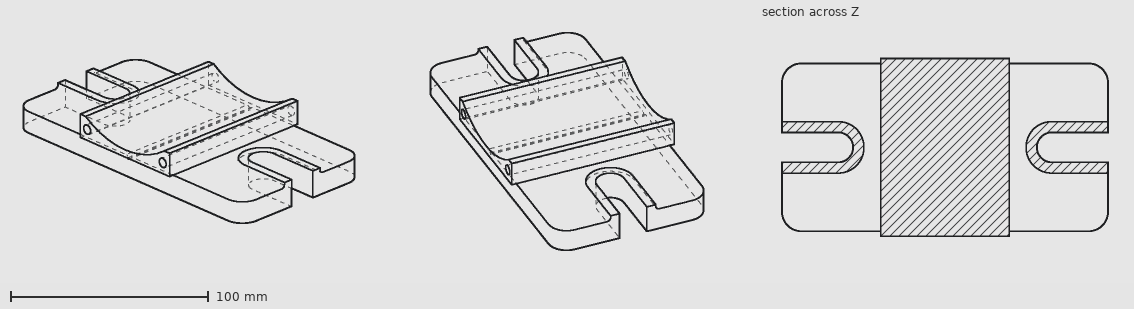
import cadquery as cq
import math

plate_length = 165.0
plate_width = 85.0
plate_thickness = 12.0
plate_corner_radius = 10.0

slot_width = 15.0
slot_center_x = 54.0
pad_rim = 5.0
pad_height = 3.0
pad_foot_radius = 2.0

saddle_length = 65.0
saddle_width = 90.0
overall_height = 25.0
cradle_floor_z = 16.0
cradle_radius = 50.0

cross_hole_diameter = 5.0
cross_hole_spacing = 55.0
cross_hole_z = 18.0

groove_edge_radius = 2.0

half_length = plate_length / 2
slot_radius = slot_width / 2
pad_radius = slot_radius + pad_rim
pad_top_z = plate_thickness + pad_height
saddle_height = overall_height - plate_thickness
quarter_arc_inset = 1 - math.sqrt(0.5)


def slot_path(radius, z):
    """Open U-shaped path at the +X end, round toward the middle of the plate."""
    return (
        cq.Workplane("XY", origin=(0, 0, z))
        .moveTo(half_length, -radius)
        .lineTo(slot_center_x, -radius)
        .threePointArc((slot_center_x - radius, 0), (slot_center_x, radius))
        .lineTo(half_length, radius)
    )


def slot_prism(radius, bottom_z, top_z):
    """Prism on the U-shaped path, flat at the plate end."""
    return slot_path(radius, bottom_z).close().extrude(top_z - bottom_z)


def cylinder_along_y(radius, x, z):
    """Cylinder centred on the XZ plane, long enough to cross the saddle."""
    return (
        cq.Workplane("XZ")
        .center(x, z)
        .circle(radius)
        .extrude(saddle_width, both=True)
    )


def base_plate():
    plate = (
        cq.Workplane("XY")
        .box(plate_length, plate_width, plate_thickness, centered=(True, True, False))
        .edges("|Z")
        .fillet(plate_corner_radius)
    )
    return plate.cut(edge_groove())


def edge_groove():
    """Cusp-shaped groove between two convex quarter rounds."""
    radius = groove_edge_radius
    arc_offset = radius * quarter_arc_inset
    return (
        cq.Workplane("XZ")
        .moveTo(-radius, plate_thickness)
        .threePointArc((-arc_offset, plate_thickness - arc_offset), (0, plate_thickness - radius))
        .threePointArc((arc_offset, plate_thickness - arc_offset), (radius, plate_thickness))
        .close()
        .extrude(plate_width, both=True)
    )


def slot_pad():
    """Raised pad at the +X slot, with a concave fillet down to the plate top."""
    foot = pad_foot_radius
    foot_offset = foot * quarter_arc_inset
    fillet_strip = (
        cq.Workplane("YZ", origin=(half_length, -pad_radius, plate_thickness))
        .lineTo(-foot, 0)
        .threePointArc((-foot_offset, foot_offset), (0, foot))
        .close()
        .sweep(slot_path(pad_radius, plate_thickness))
    )
    return slot_prism(pad_radius, plate_thickness, pad_top_z).union(fillet_strip)


def saddle():
    block = cq.Workplane("XY", origin=(0, 0, plate_thickness)).box(
        saddle_length, saddle_width, saddle_height, centered=(True, True, False)
    )
    block = block.cut(cylinder_along_y(cradle_radius, 0, cradle_floor_z + cradle_radius))
    for side in (-1, 1):
        hole_x = side * cross_hole_spacing / 2
        block = block.cut(cylinder_along_y(cross_hole_diameter / 2, hole_x, cross_hole_z))
    return block


def at_both_ends(shape):
    return shape.union(shape.mirror("YZ"))


result = (
    base_plate()
    .union(saddle())
    .union(at_both_ends(slot_pad()))
    .cut(at_both_ends(slot_prism(slot_radius, 0, pad_top_z)))
)